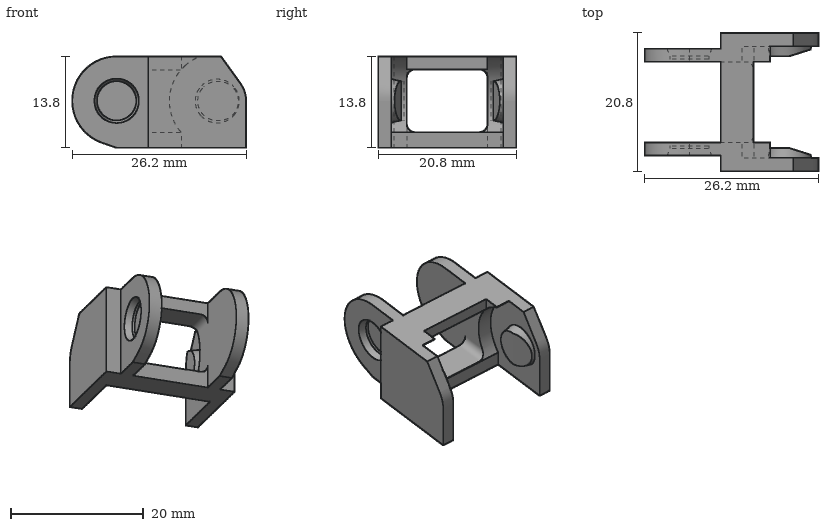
import cadquery as cq
import math

LENGTH = 26.2
WIDTH = 20.8
HEIGHT = 13.8

EAR_RADIUS = 6.7
EAR_THICKNESS = 2.0
EAR_GAP = 0.35

CHEEK_THICKNESS = 2.0
CHEEK_START_X = 11.45
CHEEK_NOSE_RADIUS = 4.4
CHEEK_CHAMFER_X = 22.4

CROSSBAR_END_X = 16.4
STEP_END_X = 18.9
SWING_RADIUS = 7.2
WINDOW_ROOF = 2.0
WINDOW_FLOOR = 2.4
WINDOW_FILLET = 1.2

SOCKET_MOUTH_RADIUS = 3.35
SOCKET_FLOOR_RADIUS = 5.9 / 2
SOCKET_DEPTH = 1.5
SOCKET_TAPER_DEPTH = 1.1

PIN_BASE_RADIUS = 3.3
PIN_TIP_RADIUS = 2.95
PIN_HEIGHT = 1.5
PIN_LEAD_ANGLE = 17.6

AXIS_Z = HEIGHT - EAR_RADIUS
SOCKET_X = EAR_RADIUS
PIN_X = LENGTH - CHEEK_NOSE_RADIUS
HALF_WIDTH = WIDTH / 2
CHEEK_INNER_Y = HALF_WIDTH - CHEEK_THICKNESS
EAR_OUTER_Y = CHEEK_INNER_Y - EAR_GAP
EAR_INNER_Y = EAR_OUTER_Y - EAR_THICKNESS


def box(x_start, x_end, y_start, y_end, z_start, z_end):
    """Axis-aligned block between the given limits."""
    size = (x_end - x_start, y_end - y_start, z_end - z_start)
    return cq.Workplane("XY").box(*size, centered=False).translate((x_start, y_start, z_start))


def side_plane(y):
    """Plane at the given Y, with local axes X and Z and its normal toward -Y."""
    return cq.Workplane("XZ", origin=(0, y, 0))


def on_circle(center_x, radius, angle):
    """Point on a circle at axis height; the angle is in radians from +X toward +Z."""
    return (center_x + radius * math.cos(angle), AXIS_Z + radius * math.sin(angle))


def make_ear():
    """Ear with a round end and a straight tangent running down to its bottom edge."""
    tangent_angle = -math.pi / 2 - math.acos(EAR_RADIUS / AXIS_Z)
    return (
        side_plane(EAR_OUTER_Y)
        .moveTo(CHEEK_START_X, HEIGHT)
        .lineTo(SOCKET_X, HEIGHT)
        .threePointArc((0, AXIS_Z), on_circle(SOCKET_X, EAR_RADIUS, tangent_angle))
        .lineTo(SOCKET_X, 0)
        .lineTo(CHEEK_START_X, 0)
        .close()
        .extrude(EAR_THICKNESS)
    )


def make_cheek():
    """Outer side wall with a sloping upper corner that runs tangent into a round nose."""
    corner_dx = CHEEK_CHAMFER_X - PIN_X
    corner_dz = HEIGHT - AXIS_Z
    corner_distance = math.hypot(corner_dx, corner_dz)
    corner_angle = math.atan2(corner_dz, corner_dx)
    tangent_angle = corner_angle - math.acos(CHEEK_NOSE_RADIUS / corner_distance)
    return (
        side_plane(HALF_WIDTH)
        .moveTo(CHEEK_START_X, 0)
        .lineTo(CHEEK_START_X, HEIGHT)
        .lineTo(CHEEK_CHAMFER_X, HEIGHT)
        .lineTo(*on_circle(PIN_X, CHEEK_NOSE_RADIUS, tangent_angle))
        .threePointArc(on_circle(PIN_X, CHEEK_NOSE_RADIUS, tangent_angle / 2), (LENGTH, AXIS_Z))
        .lineTo(LENGTH, 0)
        .close()
        .extrude(CHEEK_THICKNESS)
    )


def make_step():
    """Block beside the cheek that reaches past the crossbar above the pin axis."""
    return box(CHEEK_START_X, STEP_END_X, EAR_INNER_Y, CHEEK_INNER_Y, AXIS_Z, HEIGHT)


def make_swing_space():
    """Cylinder about the pin axis between the cheeks, where the neighbouring ears turn."""
    return (
        side_plane(CHEEK_INNER_Y)
        .center(PIN_X, AXIS_Z)
        .circle(SWING_RADIUS)
        .extrude(2 * CHEEK_INNER_Y)
    )


def make_crossbar():
    """Bar joining both cheeks, with a rounded window right through it along X."""
    bar = box(CHEEK_START_X, CROSSBAR_END_X, -CHEEK_INNER_Y, CHEEK_INNER_Y, 0, HEIGHT)
    window = box(
        CHEEK_START_X, CROSSBAR_END_X, -EAR_INNER_Y, EAR_INNER_Y, WINDOW_FLOOR, HEIGHT - WINDOW_ROOF
    )
    return bar.cut(window.edges("|X").fillet(WINDOW_FILLET))


def make_socket():
    """Blind socket in the ear's outer face: a taper ending in a short straight bore."""
    return (
        cq.Workplane("XY")
        .lineTo(SOCKET_MOUTH_RADIUS, 0)
        .lineTo(SOCKET_FLOOR_RADIUS, -SOCKET_TAPER_DEPTH)
        .lineTo(SOCKET_FLOOR_RADIUS, -SOCKET_DEPTH)
        .lineTo(0, -SOCKET_DEPTH)
        .close()
        .revolve(360, (0, 0, 0), (0, 1, 0))
        .translate((SOCKET_X, EAR_OUTER_Y, AXIS_Z))
    )


def make_pin():
    """Tapered pin on the cheek's inner face, its +X half sloped as a lead-in."""
    tip_y = CHEEK_INNER_Y - PIN_HEIGHT
    slope_rise = (LENGTH - PIN_X) * math.tan(math.radians(PIN_LEAD_ANGLE))
    pin = (
        side_plane(CHEEK_INNER_Y)
        .center(PIN_X, AXIS_Z)
        .circle(PIN_BASE_RADIUS)
        .workplane(offset=PIN_HEIGHT)
        .circle(PIN_TIP_RADIUS)
        .loft(ruled=True)
    )
    lead_in = (
        cq.Workplane("XY")
        .moveTo(PIN_X, tip_y)
        .lineTo(LENGTH, tip_y)
        .lineTo(LENGTH, tip_y + slope_rise)
        .close()
        .extrude(HEIGHT)
    )
    return pin.cut(lead_in)


def add_both_sides(body, feature):
    """Join a +Y side feature and its mirror image to the body."""
    return body.union(feature).union(feature.mirror("XZ"))


body = add_both_sides(make_crossbar(), make_step()).cut(make_swing_space())
body = add_both_sides(body, make_ear().cut(make_socket()))
body = add_both_sides(body, make_cheek())
result = add_both_sides(body, make_pin())